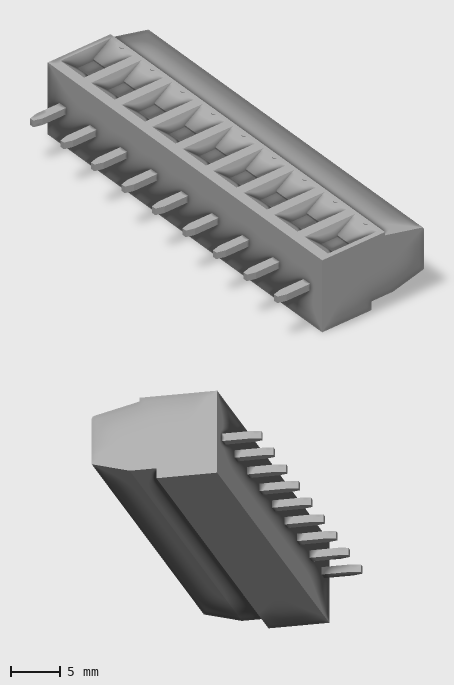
import cadquery as cq

pole_count = 9
length = 45.0
pitch = length / pole_count
body_depth = 13.2
height = 8.9

top_land_depth = 8.15
top_step = 0.4
back_top_drop = 1.58
back_round_radius = 0.3
foot_depth = 6.4
foot_height = 1.1
underside_depth = 9.2
back_bottom_rise = 2.15

mouth_width = 3.82
mouth_front = 1.2
mouth_back = 7.75
floor_width = 2.7
floor_front = 2.75
floor_back = 5.05
funnel_depth = 1.35
front_slope_drop = 1.1
back_slope_drop = 1.15
rib_radius = 0.3

pin_width = 1.1
pin_thickness = 0.8
pin_length = 4.05
pin_tip_length = 1.0
pin_tip_width = 0.55
pin_center_z = 4.55


def make_housing():
    """Side profile extruded along the row of poles, with the upper back edge rounded."""
    profile = [
        (0, 0),
        (foot_depth, 0),
        (foot_depth, foot_height),
        (underside_depth, foot_height),
        (body_depth, back_bottom_rise),
        (body_depth, height - back_top_drop),
        (top_land_depth, height - top_step),
        (top_land_depth, height),
        (0, height),
    ]
    housing = cq.Workplane("YZ").polyline(profile).close().extrude(length)
    upper_back_edge = housing.faces(">Y").edges(">Z")
    return upper_back_edge.fillet(back_round_radius)


def make_funnel(center_x):
    """Tapered wire entry above a flat floor, with a half-round rib on its back edge."""
    side_profile = [
        (mouth_front, height),
        (floor_front, height - front_slope_drop),
        (floor_front, height - funnel_depth),
        (floor_back, height - funnel_depth),
        (floor_back, height - back_slope_drop),
        (mouth_back, height),
    ]
    front_profile = [
        (-mouth_width / 2, height),
        (-floor_width / 2, height - funnel_depth),
        (floor_width / 2, height - funnel_depth),
        (mouth_width / 2, height),
    ]
    lengthwise = (
        cq.Workplane("YZ", origin=(center_x - mouth_width / 2, 0, 0))
        .polyline(side_profile)
        .close()
        .extrude(mouth_width)
    )
    crosswise = (
        cq.Workplane("XZ", origin=(center_x, 0, 0))
        .polyline(front_profile)
        .close()
        .extrude(-body_depth)
    )
    rib = (
        cq.Workplane("XY", origin=(center_x, mouth_back, height))
        .circle(rib_radius)
        .extrude(-funnel_depth)
    )
    return lengthwise.intersect(crosswise).cut(rib)


def make_pin(center_x):
    """Flat pin whose sides narrow toward the tip."""
    shank_end = pin_tip_length - pin_length
    outline = [
        (-pin_width / 2, 0),
        (-pin_width / 2, shank_end),
        (-pin_tip_width / 2, -pin_length),
        (pin_tip_width / 2, -pin_length),
        (pin_width / 2, shank_end),
        (pin_width / 2, 0),
    ]
    pin_bottom_z = pin_center_z - pin_thickness / 2
    return (
        cq.Workplane("XY", origin=(center_x, 0, pin_bottom_z))
        .polyline(outline)
        .close()
        .extrude(pin_thickness)
    )


result = make_housing()
for pole in range(pole_count):
    pole_x = (pole + 0.5) * pitch
    result = result.cut(make_funnel(pole_x))
    result = result.union(make_pin(pole_x))